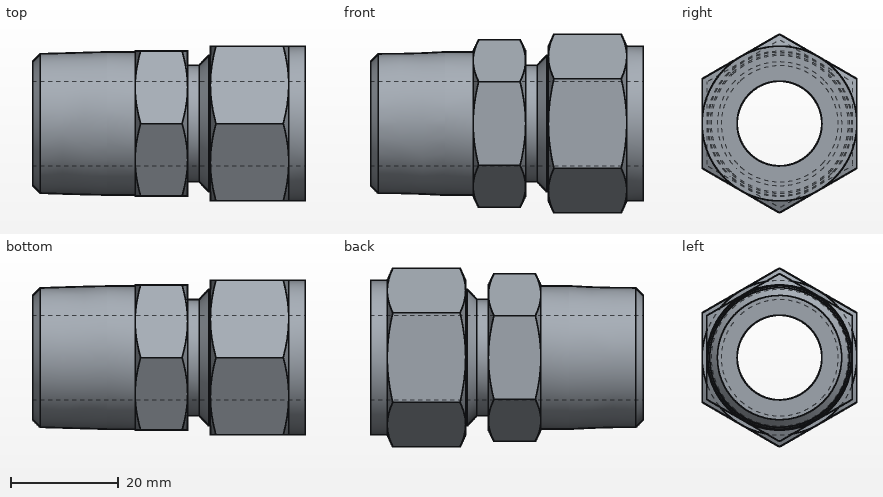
import cadquery as cq
import math

length = 50.55
x_thread_chamfer = 1.4
x_taper_end = 13.75
x_body_hex = 19.0
x_neck = 28.7
x_cone_start = 30.9
x_cone_end = 32.65
x_nut = 32.95
x_collar = 47.45

thread_tip_radius = 11.55
thread_front_radius = 12.95
thread_radius = 13.3
neck_radius = 10.8
cone_radius = 12.7
bore_radius = 7.85

body_across_flats = 26.95
nut_across_flats = 28.7
collar_radius = nut_across_flats / 2
corner_chamfer_length = 1.0


def chamfered_hex(x_start, x_end, across_flats):
    """Hexagonal prism along X with conically chamfered corners at both ends."""
    flat_radius = across_flats / 2
    corner_radius = flat_radius / math.cos(math.pi / 6)
    prism = (
        cq.Workplane("YZ", origin=(x_start, 0, 0))
        .polygon(6, 2 * corner_radius)
        .extrude(x_end - x_start)
        .rotate((0, 0, 0), (1, 0, 0), 90)
    )
    envelope = revolve_profile([
        (x_start, 0),
        (x_start, flat_radius),
        (x_start + corner_chamfer_length, corner_radius),
        (x_end - corner_chamfer_length, corner_radius),
        (x_end, flat_radius),
        (x_end, 0),
    ])
    return prism.intersect(envelope)


def revolve_profile(points):
    """Solid of revolution about X from (x, radius) points."""
    return cq.Workplane("XY").polyline(points).close().revolve(360, (0, 0, 0), (1, 0, 0))


turned_body = revolve_profile([
    (0, 0),
    (0, thread_tip_radius),
    (x_thread_chamfer, thread_front_radius),
    (x_taper_end, thread_radius),
    (x_body_hex, thread_radius),
    (x_body_hex, neck_radius),
    (x_cone_start, neck_radius),
    (x_cone_end, cone_radius),
    (x_collar, cone_radius),
    (x_collar, collar_radius),
    (length, collar_radius),
    (length, 0),
])

body_hex = chamfered_hex(x_body_hex, x_neck, body_across_flats)
nut = chamfered_hex(x_nut, x_collar, nut_across_flats)
bore = cq.Workplane("YZ").circle(bore_radius).extrude(length)

result = turned_body.union(body_hex).union(nut).cut(bore)